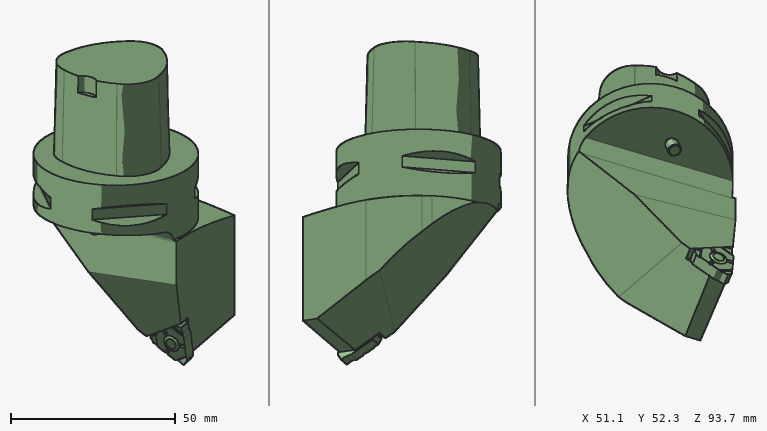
import cadquery as cq
import math


SHANK_HEIGHT = 30.0
SHANK_TAPER = 1.4
LOBE_COUNT = 3
LOBE_REACH = 18.8
FLANK_REACH = 16.3
JOINT_REACH = 17.5
JOINT_ANGLE = 25.6

NOTCH_RADIUS = 4.4
NOTCH_DEPTH = 5.4
NOTCH_CENTRE_Y = -18.3

FLANGE_RADIUS = 25.0
FLANGE_HEIGHT = 20.9
GRIP_COUNT = 4
GRIP_CENTRE_Z = -10.0
GRIP_FLOOR_REACH = 22.2
GRIP_FLOOR_WIDTH = 3.5
GRIP_WALL_ANGLE = 30.0

NECK_FRONT_Y = -5.0
NECK_BACK_Y = 27.3
NECK_RADIUS = 25.2
NECK_BOTTOM_Z = -70.25
SHOULDER_RISE = 14.0
SIDE_X = 25.6
SIDE_RELIEF = 1.0
BLEND_START = (-15.55, 19.9)
BLEND_END = (-13.0, 21.6)
BACK_ARC_RADIUS = 26.2

UNDERSIDE_Z = -16.0
UNDERSIDE_SLOPE = 5.0
RELIEF_FILLET = 4.0

SLANT_START_Z = -20.1
SLANT_ANGLE = 45.5
END_RIDGE_X = 20.1
END_RIDGE_Z = -56.6
END_SLOPE_X = 30.0
END_SLOPE_Y = 9.3

RAKE_TILT = 10.0
RAKE_ROLL = 1.0
RAKE_EDGE_Z = -35.9
RAKE_CUT_SIZE = 56.2
INSERT_X = 21.3
BOTTOM_Z = -63.7
INSERT_RADIUS = 4.8
INSERT_THICKNESS = 3.9
CORNER_COUNT = 3

SIDE_TOP_Y = 2.9
SIDE_END_Y = -5.15
TOOTH_TIP = (3.6, -6.8)
TOOTH_ROOT = (1.9, -6.0)
BREAKER_START = 5.4
BREAKER_LOW = 5.7
BREAKER_DEPTH = 0.4
MARK_WIDTH = 1.1
MARK_DEPTH = 0.4
MARK_START = 2.9
HUB_DIAMETER = 5.4
HUB_TOP_DIAMETER = 3.5
HUB_HEIGHT = 0.4

NOZZLE_DIAMETER = 4.0
NOZZLE_END = (3.1, -14.2, -20.4)
NOZZLE_TILT = 15.0
NOZZLE_LENGTH = 5.6
NOZZLE_CHAMFER = 0.3

FAR = 112.4


def tan(angle):
    return math.tan(math.radians(angle))


def polar(radius, angle):
    return (radius * math.cos(math.radians(angle)), radius * math.sin(math.radians(angle)))


def turned(point, angle):
    """Rotate a 2D point about the origin."""
    return polar(math.hypot(*point), math.degrees(math.atan2(point[1], point[0])) + angle)


rake_frame = cq.Plane.named("XZ").rotated((RAKE_TILT, RAKE_ROLL, 0))
insert_z = BOTTOM_Z - rake_frame.toWorldCoords(TOOTH_TIP).z
insert_y = NECK_FRONT_Y + tan(RAKE_TILT) * (RAKE_EDGE_Z - insert_z)
rake_plane = cq.Plane.named("XZ", (INSERT_X, insert_y, insert_z)).rotated((RAKE_TILT, RAKE_ROLL, 0))


def make_shank():
    pitch = 360 / LOBE_COUNT
    outline = cq.Workplane("XY").moveTo(*polar(JOINT_REACH, 90 - JOINT_ANGLE))
    for i in range(LOBE_COUNT):
        crest = 90 + i * pitch
        outline = outline.threePointArc(polar(LOBE_REACH, crest), polar(JOINT_REACH, crest + JOINT_ANGLE))
        next_joint = polar(JOINT_REACH, crest + pitch - JOINT_ANGLE)
        outline = outline.threePointArc(polar(FLANK_REACH, crest + pitch / 2), next_joint)
    shank = outline.close().extrude(SHANK_HEIGHT, taper=SHANK_TAPER)
    notch = (
        cq.Workplane("XY", origin=(0, NOTCH_CENTRE_Y, SHANK_HEIGHT - NOTCH_DEPTH))
        .circle(NOTCH_RADIUS)
        .extrude(NOTCH_DEPTH)
    )
    return shank.cut(notch)


def make_flange():
    flange = cq.Workplane("XY").circle(FLANGE_RADIUS).extrude(-FLANGE_HEIGHT)
    depth = FLANGE_RADIUS - GRIP_FLOOR_REACH
    half_floor = GRIP_FLOOR_WIDTH / 2
    half_mouth = half_floor + depth * tan(GRIP_WALL_ANGLE)
    groove = (
        cq.Workplane("XZ", origin=(0, 0, GRIP_CENTRE_Z))
        .polyline([
            (GRIP_FLOOR_REACH, -half_floor),
            (FLANGE_RADIUS, -half_mouth),
            (FLANGE_RADIUS, half_mouth),
            (GRIP_FLOOR_REACH, half_floor),
        ])
        .close()
        .extrude(FLANGE_RADIUS, both=True)
    )
    for i in range(GRIP_COUNT):
        angle = 360 / GRIP_COUNT * (i + 0.5)
        flange = flange.cut(groove.rotate((0, 0, 0), (0, 0, 1), angle))
    return flange


def make_neck():
    drop = NECK_BACK_Y - BLEND_END[1]
    sweep = math.degrees(math.acos(1 - drop / BACK_ARC_RADIUS))
    arc_x = BLEND_END[0] + BACK_ARC_RADIUS * math.sin(math.radians(sweep))
    arc_centre_y = NECK_BACK_Y - BACK_ARC_RADIUS
    mid_x, mid_y = polar(BACK_ARC_RADIUS, 90 + sweep / 2)

    back_side_x = SIDE_X - (NECK_BACK_Y - NECK_FRONT_Y) * tan(SIDE_RELIEF)
    round_start = math.degrees(math.atan2(BLEND_START[1], BLEND_START[0]))
    neck = (
        cq.Workplane("XY")
        .moveTo(SIDE_X, NECK_FRONT_Y)
        .lineTo(back_side_x, NECK_BACK_Y)
        .lineTo(arc_x, NECK_BACK_Y)
        .threePointArc((arc_x + mid_x, arc_centre_y + mid_y), BLEND_END)
        .lineTo(*BLEND_START)
        .threePointArc(polar(NECK_RADIUS, (round_start + 180) / 2), (-NECK_RADIUS, 0))
        .lineTo(-NECK_RADIUS, NECK_FRONT_Y - RELIEF_FILLET)
        .lineTo(SIDE_X, NECK_FRONT_Y - RELIEF_FILLET)
        .close()
        .extrude(NECK_BOTTOM_Z)
    )
    shoulder_end = 2 * FLANGE_RADIUS
    shoulder = (
        cq.Workplane("XZ")
        .polyline([
            (0, 0),
            (shoulder_end, 0),
            (shoulder_end, -FLANGE_HEIGHT - FLANGE_RADIUS * tan(SHOULDER_RISE)),
            (FLANGE_RADIUS, -FLANGE_HEIGHT),
            (0, -FLANGE_HEIGHT),
        ])
        .close()
        .revolve(360, (0, 0), (0, 1))
    )
    return neck.cut(shoulder)


def front_relief():
    """Clears the space in front of the neck and under the flange."""
    corner_z = UNDERSIDE_Z - (FLANGE_RADIUS + NECK_FRONT_Y) * tan(UNDERSIDE_SLOPE)
    front_y = -2 * FLANGE_RADIUS
    front_z = corner_z + (NECK_FRONT_Y - front_y) * tan(UNDERSIDE_SLOPE)
    return (
        cq.Workplane("YZ")
        .polyline([
            (NECK_FRONT_Y, NECK_BOTTOM_Z),
            (NECK_FRONT_Y, corner_z),
            (front_y, front_z),
            (front_y, NECK_BOTTOM_Z),
        ])
        .close()
        .extrude(FAR, both=True)
        .edges(cq.selectors.NearestToPointSelector((0, NECK_FRONT_Y, corner_z)))
        .fillet(RELIEF_FILLET)
    )


def slant_cutter():
    start_x = -FLANGE_RADIUS
    drop = FAR * tan(SLANT_ANGLE)
    return (
        cq.Workplane("XZ")
        .polyline([
            (start_x, SLANT_START_Z),
            (start_x + FAR, SLANT_START_Z - drop),
            (start_x - FAR, SLANT_START_Z - drop),
            (start_x - FAR, SLANT_START_Z + drop),
        ])
        .close()
        .extrude(FAR, both=True)
    )


def half_space_below(slope_x):
    """Space below a plane through the end ridge, falling toward +X by slope_x and toward -Y."""
    ridge_back = (END_RIDGE_X, NECK_BACK_Y, END_RIDGE_Z)
    plane = cq.Plane(
        origin=ridge_back,
        xDir=(0, 1, tan(END_SLOPE_Y)),
        normal=(-tan(slope_x), tan(END_SLOPE_Y), -1),
    )
    return cq.Workplane(plane).rect(FAR, FAR).extrude(FAR / 2)


def rake_cutter():
    return cq.Workplane(rake_plane).rect(RAKE_CUT_SIZE, RAKE_CUT_SIZE).extrude(RAKE_CUT_SIZE / 4)


def insert_seat():
    """Triangular pocket that follows the insert's three sides."""
    pitch = 360 / CORNER_COUNT
    corner_reach = 2 * INSERT_RADIUS
    corners = [polar(corner_reach, pitch * (i + 0.5)) for i in range(CORNER_COUNT)]
    return cq.Workplane(rake_plane).polyline(corners).close().extrude(-INSERT_THICKNESS)


def make_nozzle():
    tip = cq.Plane(origin=NOZZLE_END).rotated((0, -NOZZLE_TILT, 0))
    return (
        cq.Workplane(tip)
        .circle(NOZZLE_DIAMETER / 2)
        .extrude(NOZZLE_LENGTH)
        .faces("<Z")
        .chamfer(NOZZLE_CHAMFER)
    )


def make_holder():
    body = make_flange().union(make_neck())
    cutters = [
        front_relief(),
        slant_cutter(),
        half_space_below(END_SLOPE_X),
        half_space_below(0),
        rake_cutter(),
        insert_seat(),
    ]
    for cutter in cutters:
        body = body.cut(cutter)
    return body.union(make_shank()).union(make_nozzle())


def make_insert():
    """Built flat with its centre at the origin, then moved onto the rake face."""
    side = [(INSERT_RADIUS, SIDE_TOP_Y), (INSERT_RADIUS, SIDE_END_Y), TOOTH_TIP, TOOTH_ROOT]
    pitch = 360 / CORNER_COUNT
    outline = [turned(point, -pitch * i) for i in range(CORNER_COUNT) for point in side]
    insert = cq.Workplane("XY").polyline(outline).close().extrude(-INSERT_THICKNESS)
    hub = (
        cq.Workplane("XY")
        .circle(HUB_DIAMETER / 2)
        .workplane(offset=HUB_HEIGHT)
        .circle(HUB_TOP_DIAMETER / 2)
        .loft()
    )
    tip_reach, _ = turned(TOOTH_TIP, pitch / 2)
    breaker = (
        cq.Workplane("XZ")
        .polyline([(BREAKER_START, 0), (BREAKER_LOW, -BREAKER_DEPTH), (tip_reach, 0)])
        .close()
        .extrude(INSERT_RADIUS, both=True)
    )
    mark = (
        cq.Workplane("YZ", origin=(MARK_START, 0, 0))
        .polyline([(-MARK_WIDTH / 2, 0), (0, -MARK_DEPTH), (MARK_WIDTH / 2, 0)])
        .close()
        .extrude(INSERT_RADIUS)
    )
    insert = insert.union(hub)
    for i in range(CORNER_COUNT):
        insert = insert.cut(mark.rotate((0, 0, 0), (0, 0, 1), pitch * i))
        insert = insert.cut(breaker.rotate((0, 0, 0), (0, 0, 1), pitch * (i + 0.5)))
    return cq.Workplane(insert.val().moved(rake_plane.location))


holder = make_holder()
insert = make_insert()
result = cq.Compound.makeCompound([holder.val(), insert.val()])